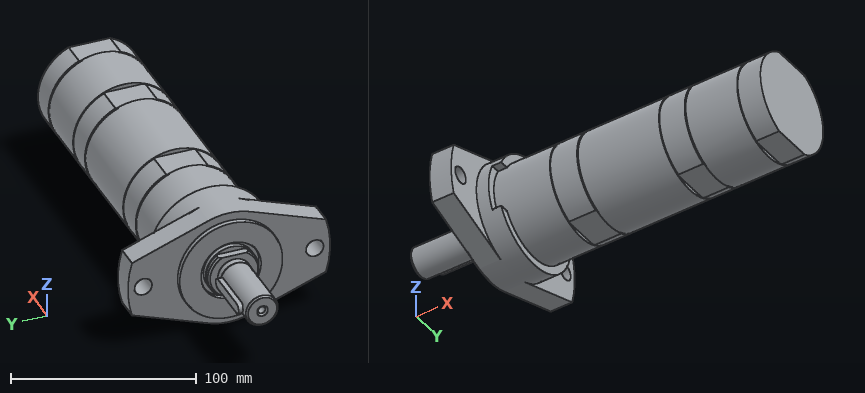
import cadquery as cq
import math

total_length = 243.0

collar_start = 39.9
pilot_start = 44.0
flange_start = 47.0
flange_thickness = 14.0
hub_length = 13.9
flange_end = flange_start + flange_thickness
hub_end = flange_end + hub_length

shaft_diameter = 18.7
shaft_chamfer = 1.0
neck_start = 36.0
neck_diameter = 19.0
key_start = 4.9
key_length = 32.0
key_width = 6.0
key_top = 12.0

center_countersink_diameter = 6.3
center_hole_diameter = 4.1
center_hole_depth = 16.0
drill_point_angle = 120.0

collar_diameter = 30.0
collar_chamfer_length = 1.2
collar_chamfer_height = 1.0
collar_across_flats = 24.0
collar_rear_chamfer = 0.5
recess_diameter = 35.0
recess_depth = 3.0

flange_span = 118.0
hub_diameter = 70.0
flange_end_width = 33.5
bolt_spacing = 100.0
bolt_hole_diameter = 10.2
hub_slot_width = 30.1
hub_slot_length = 5.8

body_diameter = 60.0
band_across_flats = 55.0
band_chamfer = 0.5
flatted_bands = [
    (105.5, 123.7, True),
    (176.7, 194.0, True),
    (227.7, total_length, False),
]


def cylinder(diameter, start, end):
    """Round bar on the motor axis between two X stations."""
    return cq.Workplane("YZ", origin=(start, 0, 0)).circle(diameter / 2).extrude(end - start)


def flats(start, end, across_flats, diameter):
    """Material outside two flats that face +Z and -Z."""
    length = end - start
    outside = cq.Workplane("XY").box(length, 2 * diameter, 2 * diameter)
    kept = cq.Workplane("XY").box(length, 2 * diameter, across_flats)
    return outside.cut(kept).translate(((start + end) / 2, 0, 0))


def make_flange():
    """Round-ended plate whose straight edges run tangent to the hub circle."""
    end_radius = flange_span / 2
    hub_radius = hub_diameter / 2
    corner_z = flange_end_width / 2
    corner_y = math.sqrt(end_radius**2 - corner_z**2)
    tangent_angle = math.atan2(corner_z, corner_y) + math.acos(hub_radius / end_radius)
    tangent_y = hub_radius * math.cos(tangent_angle)
    tangent_z = hub_radius * math.sin(tangent_angle)
    plate = (
        cq.Workplane("YZ", origin=(flange_start, 0, 0))
        .moveTo(corner_y, -corner_z)
        .threePointArc((end_radius, 0), (corner_y, corner_z))
        .lineTo(tangent_y, tangent_z)
        .threePointArc((0, hub_radius), (-tangent_y, tangent_z))
        .lineTo(-corner_y, corner_z)
        .threePointArc((-end_radius, 0), (-corner_y, -corner_z))
        .lineTo(-tangent_y, -tangent_z)
        .threePointArc((0, -hub_radius), (tangent_y, -tangent_z))
        .close()
        .extrude(flange_thickness)
    )
    bolt_holes = (
        cq.Workplane("YZ", origin=(flange_start, 0, 0))
        .pushPoints([(-bolt_spacing / 2, 0), (bolt_spacing / 2, 0)])
        .circle(bolt_hole_diameter / 2)
        .extrude(flange_thickness)
    )
    return plate.cut(bolt_holes)


def make_hub():
    """Round hub behind the flange, with a slot in the -Y side of its rear rim."""
    hub = cylinder(hub_diameter, flange_end, hub_end)
    slot = cq.Workplane("XY").box(hub_slot_length, hub_diameter, hub_slot_width)
    slot = slot.translate((hub_end - hub_slot_length / 2, -hub_diameter / 2, 0))
    return hub.cut(slot)


def make_body():
    """Pilot and motor housing in one diameter, with flats and edge chamfers on its bands."""
    body = cylinder(body_diameter, pilot_start, total_length)
    body = body.cut(cylinder(recess_diameter, pilot_start, pilot_start + recess_depth))
    for start, end, rear_chamfered in flatted_bands:
        band = cylinder(body_diameter, start, end)
        body = body.cut(band)
        band = band.faces("<X").chamfer(band_chamfer)
        if rear_chamfered:
            band = band.faces(">X").chamfer(band_chamfer)
        band = band.cut(flats(start, end, band_across_flats, body_diameter))
        body = body.union(band)
    return body


def make_collar():
    """Flatted collar, chamfered at both ends, in front of a full-round shoulder in the recess."""
    radius = collar_diameter / 2
    collar = (
        cq.Workplane("XY")
        .moveTo(collar_start, 0)
        .lineTo(collar_start, radius - collar_chamfer_height)
        .lineTo(collar_start + collar_chamfer_length, radius)
        .lineTo(pilot_start - collar_rear_chamfer, radius)
        .lineTo(pilot_start, radius - collar_rear_chamfer)
        .lineTo(pilot_start, 0)
        .close()
        .revolve(360, (0, 0, 0), (1, 0, 0))
    )
    collar = collar.cut(flats(collar_start, pilot_start, collar_across_flats, collar_diameter))
    return collar.union(cylinder(collar_diameter, pilot_start, pilot_start + recess_depth))


def make_shaft():
    """Chamfered shaft with its key and a countersunk centre hole."""
    shaft = cylinder(shaft_diameter, 0, neck_start).faces("<X").chamfer(shaft_chamfer)
    shaft = shaft.union(cylinder(neck_diameter, neck_start, collar_start))
    key = (
        cq.Workplane("XZ")
        .center(key_start + key_length / 2, 0)
        .slot2D(key_length, key_width)
        .extrude(-key_top)
    )
    countersink_depth = (center_countersink_diameter - center_hole_diameter) / 2
    drill_point_depth = center_hole_diameter / 2 / math.tan(math.radians(drill_point_angle / 2))
    center_hole = (
        cq.Workplane("XY")
        .lineTo(0, center_countersink_diameter / 2)
        .lineTo(countersink_depth, center_hole_diameter / 2)
        .lineTo(center_hole_depth, center_hole_diameter / 2)
        .lineTo(center_hole_depth + drill_point_depth, 0)
        .close()
        .revolve(360, (0, 0, 0), (1, 0, 0))
    )
    return shaft.union(key).cut(center_hole)


result = make_body()
for section in (make_flange(), make_hub(), make_collar(), make_shaft()):
    result = result.union(section)